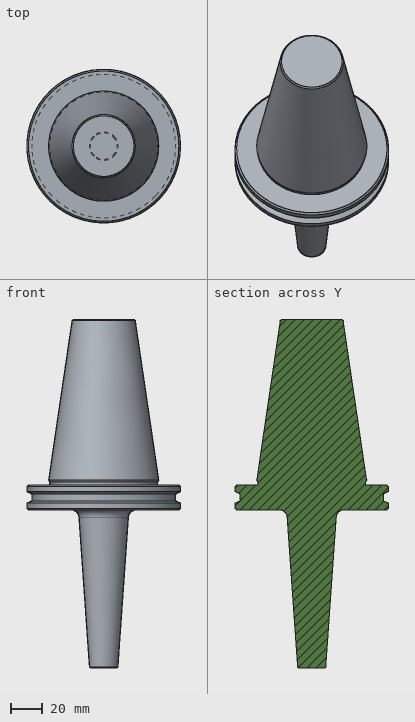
import cadquery as cq

total_height = 220.8
flange_bottom = 100.0
flange_top = 116.0
gauge_plane = 119.0

gauge_radius = 35.0
taper_slope = 7 / 48
shank_end_chamfer = 0.9
neck_radius = 34.2
neck_step_height = 1.3

flange_diameter = 97.5
flange_chamfer = 1.0
groove_center = 108.0
groove_floor_radius = 45.5
groove_floor_width = 4.2
groove_mouth_width = 7.3

nose_tip_radius = 9.0
nose_root_radius = 15.7
nose_tip_chamfer = 0.7
root_fillet = 4.9

flange_radius = flange_diameter / 2
shank_end_radius = gauge_radius - taper_slope * (total_height - gauge_plane)
nose_root_height = flange_bottom - root_fillet


def make_nose():
    """Slender cone with a chamfered tip and a flared root."""
    fillet_mid_offset = root_fillet * (1 - 0.5 ** 0.5)
    profile = (
        cq.Workplane("XZ")
        .lineTo(nose_tip_radius - nose_tip_chamfer, 0)
        .lineTo(nose_tip_radius, nose_tip_chamfer)
        .lineTo(nose_root_radius, nose_root_height)
        .threePointArc(
            (nose_root_radius + fillet_mid_offset, flange_bottom - fillet_mid_offset),
            (nose_root_radius + root_fillet, flange_bottom),
        )
        .lineTo(0, flange_bottom)
        .close()
    )
    return profile.revolve(360, (0, 0), (0, 1))


def make_flange():
    """Chamfered disc with a V-sided groove around its rim."""
    disc = (
        cq.Workplane("XY", origin=(0, 0, flange_bottom))
        .circle(flange_radius)
        .extrude(flange_top - flange_bottom)
        .edges("%CIRCLE")
        .chamfer(flange_chamfer)
    )
    groove = (
        cq.Workplane("XZ")
        .polyline([
            (flange_radius, groove_center - groove_mouth_width / 2),
            (groove_floor_radius, groove_center - groove_floor_width / 2),
            (groove_floor_radius, groove_center + groove_floor_width / 2),
            (flange_radius, groove_center + groove_mouth_width / 2),
        ])
        .close()
        .revolve(360, (0, 0), (0, 1))
    )
    return disc.cut(groove)


def make_shank():
    """Steep taper standing on a slightly narrower neck."""
    profile = (
        cq.Workplane("XZ")
        .polyline([
            (0, flange_top),
            (neck_radius, flange_top),
            (neck_radius, gauge_plane - neck_step_height),
            (gauge_radius, gauge_plane),
            (shank_end_radius, total_height - shank_end_chamfer),
            (shank_end_radius - shank_end_chamfer, total_height),
            (0, total_height),
        ])
        .close()
    )
    return profile.revolve(360, (0, 0), (0, 1))


result = make_flange().union(make_nose()).union(make_shank())